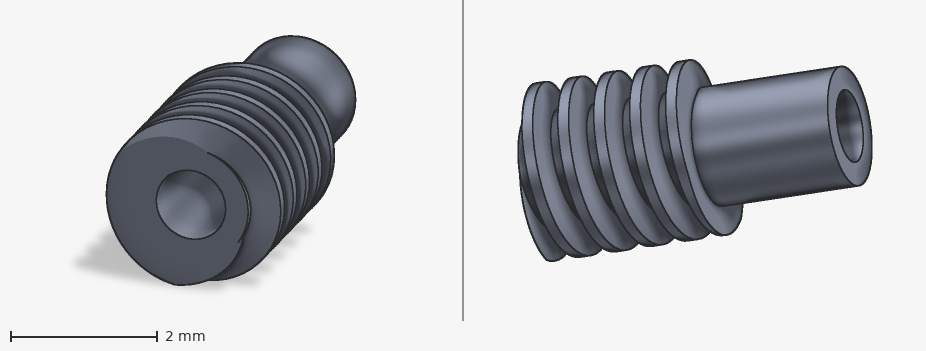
import cadquery as cq
import math

total_length = 4.54
thread_length = 2.542
outer_diameter = 2.44
core_diameter = 1.65
bore_diameter = 1.0

pitch = 0.525
crest_width = 0.16
flank_angle = 16.0
root_overlap = 0.023
crest_at_plus_x = 0.3

outer_radius = outer_diameter / 2
core_radius = core_diameter / 2


def make_cylinder(diameter, length):
    """Cylinder along Z, starting at Z = 0."""
    return cq.Workplane("XY").circle(diameter / 2).extrude(length)


def make_thread():
    """Thread about Z, run past both ends and then cut flush."""
    start = crest_at_plus_x - 2 * pitch
    turns = math.ceil(thread_length / pitch) + 3
    base_radius = core_radius - root_overlap
    half_crest = crest_width / 2
    half_base = half_crest + (outer_radius - base_radius) * math.tan(math.radians(flank_angle))

    helix = cq.Wire.makeHelix(pitch, turns * pitch, core_radius)
    path = cq.Workplane(helix.translate(cq.Vector(0, 0, start)))
    ridge = (
        cq.Workplane("XZ")
        .moveTo(base_radius, start - half_base)
        .lineTo(outer_radius, start - half_crest)
        .lineTo(outer_radius, start + half_crest)
        .lineTo(base_radius, start + half_base)
        .close()
        .sweep(path, isFrenet=True)
    )
    return ridge.intersect(make_cylinder(2 * outer_diameter, thread_length))


core = make_cylinder(core_diameter, total_length)
bore = make_cylinder(bore_diameter, total_length)
worm = core.union(make_thread()).cut(bore)

result = worm.rotate((0, 0, 0), (1, 0, 0), -90)